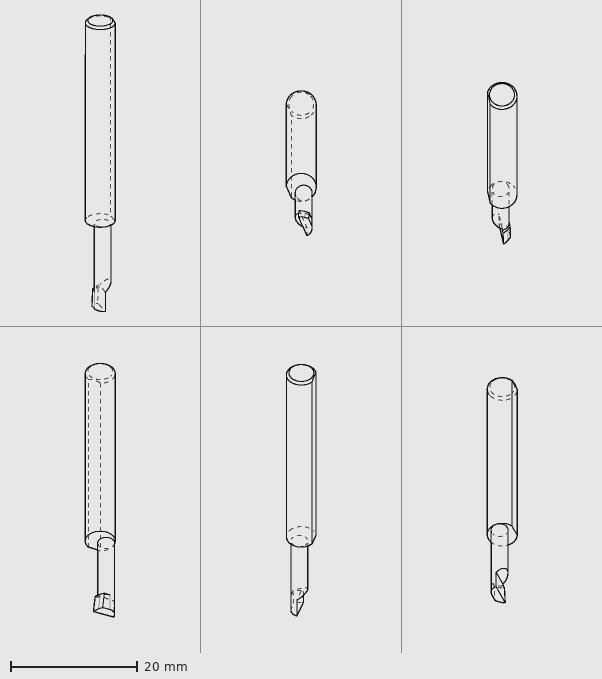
import cadquery as cq

total_length = 50.8
shank_radius = 2.4
shank_flat_y = 2.15
shoulder_z = 15.25
shank_chamfer = 0.4

neck_radius = 1.345
neck_x = shank_radius - neck_radius

rake_face_y = 0.0
ramp_foot_z = 3.6
tip_height = 3.3
tip_lean = 0.3
tip_edge_x = -0.9
tip_relief_x = -0.4
tip_relief_y = -0.85
tip_heel_x = 0.075
corner_size = 0.15

end_rise_x = 0.05
end_rise_y = 0.1


def make_shank():
    shank = (
        cq.Workplane("XY", origin=(0, 0, shoulder_z))
        .circle(shank_radius)
        .extrude(total_length - shoulder_z)
        .faces(">Z")
        .chamfer(shank_chamfer)
    )
    width = 2 * shank_radius
    flat_cut = cq.Workplane("XY").box(width, width, total_length, centered=(True, False, False))
    return shank.cut(flat_cut.translate((0, shank_flat_y, 0)))


def make_neck():
    neck = cq.Workplane("XY").center(neck_x, 0).circle(neck_radius).extrude(shoulder_z)
    reach = 2 * neck_radius
    relief = (
        cq.Workplane("YZ")
        .polyline([
            (rake_face_y, 0),
            (rake_face_y, ramp_foot_z),
            (rake_face_y + reach, ramp_foot_z + reach),
            (rake_face_y + reach, 0),
        ])
        .close()
        .extrude(shank_radius, both=True)
    )
    return neck.cut(relief)


def tip_outline(lean):
    return [
        (tip_edge_x - lean, rake_face_y),
        (tip_relief_x - lean, tip_relief_y),
        (tip_heel_x - lean, -neck_radius),
        (neck_x, -neck_radius),
        (neck_x, rake_face_y),
    ]


def make_tip():
    tip = (
        cq.Workplane("XY")
        .polyline(tip_outline(tip_lean))
        .close()
        .workplane(offset=tip_height)
        .polyline(tip_outline(0))
        .close()
        .loft(ruled=True)
    )
    corner_x = tip_edge_x - tip_lean
    corner = (
        cq.Workplane("XZ")
        .polyline([(corner_x, 0), (corner_x + corner_size, 0), (corner_x, corner_size)])
        .close()
        .extrude(neck_radius)
    )
    return tip.cut(corner)


def make_end_face_cutter():
    size = 4 * shank_radius
    cutting_corner = (tip_edge_x - tip_lean + corner_size, rake_face_y, 0)
    end_plane = cq.Plane(origin=cutting_corner, xDir=(1, 0, end_rise_x), normal=(-end_rise_x, end_rise_y, 1))
    return cq.Workplane(end_plane).rect(size, size).extrude(-size)


result = make_shank().union(make_neck()).union(make_tip()).cut(make_end_face_cutter())